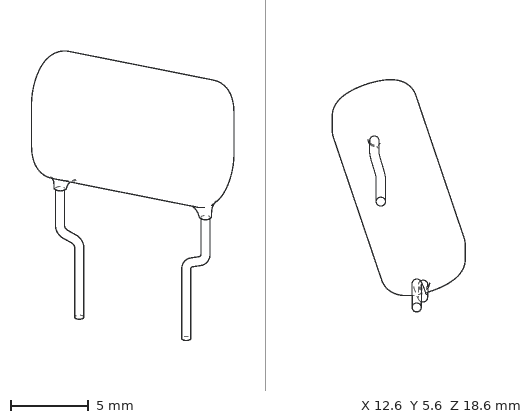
import cadquery as cq
import math

TOTAL_HEIGHT = 18.6

HOUSING_LENGTH = 12.6
HOUSING_DEPTH = 5.6
HOUSING_HEIGHT = 8.6
END_ROUNDING = 1.25
HOUSING_BOTTOM = TOTAL_HEIGHT - HOUSING_HEIGHT
HOUSING_MIDDLE = TOTAL_HEIGHT - HOUSING_HEIGHT / 2

COLLAR_DIAMETER = 0.8
COLLAR_DROP = 1.02
COLLAR_TRIM = 0.55
COLLAR_FLARE = 1.23
COLLAR_LIP_ROUNDING = 0.1
COLLAR_BOTTOM = HOUSING_BOTTOM - COLLAR_DROP

WIRE_DIAMETER = 0.6
UPPER_PITCH = 10.17
LOWER_PITCH = 7.48
LOWER_STRAIGHT = 5.0
BEND_RADIUS = 0.6
BEND_ANGLE = math.radians(70)

SIDES = (-1, 1)


def make_housing():
    """Stadium-section housing with rounded ends and a flared collar for each lead."""
    housing = (
        cq.Workplane("YZ")
        .center(0, HOUSING_MIDDLE)
        .slot2D(HOUSING_HEIGHT, HOUSING_DEPTH, 90)
        .extrude(HOUSING_LENGTH / 2, both=True)
        .faces("<X or >X")
        .edges()
        .fillet(END_ROUNDING)
    )
    collars = (
        cq.Workplane("XY", origin=(0, 0, COLLAR_BOTTOM - COLLAR_TRIM))
        .pushPoints([(side * UPPER_PITCH / 2, 0) for side in SIDES])
        .circle(COLLAR_DIAMETER / 2)
        .extrude(HOUSING_MIDDLE - COLLAR_BOTTOM + COLLAR_TRIM)
    )
    housing = housing.union(collars)

    collar_seams = cq.selectors.BoxSelector(
        (-UPPER_PITCH / 2 - COLLAR_DIAMETER, -COLLAR_DIAMETER, COLLAR_BOTTOM + COLLAR_DROP / 2),
        (UPPER_PITCH / 2 + COLLAR_DIAMETER, COLLAR_DIAMETER, HOUSING_BOTTOM + COLLAR_DROP / 2),
        boundingbox=True,
    )
    housing = housing.edges(collar_seams).fillet(COLLAR_FLARE)

    trim = (
        cq.Workplane("XY", origin=(0, 0, COLLAR_BOTTOM))
        .rect(HOUSING_LENGTH, HOUSING_DEPTH)
        .extrude(-COLLAR_TRIM)
    )
    housing = housing.cut(trim)
    return housing.faces("<Z").edges().fillet(COLLAR_LIP_ROUNDING)


def make_lead(side):
    """Round wire from the collar down to the tip, with an inward double bend."""
    upper_x = UPPER_PITCH / 2
    lower_x = LOWER_PITCH / 2
    bend_in = BEND_RADIUS * (1 - math.cos(BEND_ANGLE))
    bend_drop = BEND_RADIUS * math.sin(BEND_ANGLE)
    slant_in = upper_x - lower_x - 2 * bend_in
    slant_drop = slant_in / math.tan(BEND_ANGLE)

    lower_bend_end = LOWER_STRAIGHT + bend_drop
    upper_bend_end = lower_bend_end + slant_drop
    upper_bend_start = upper_bend_end + bend_drop

    path = (
        cq.Workplane("XZ")
        .moveTo(side * lower_x, 0)
        .lineTo(side * lower_x, LOWER_STRAIGHT)
        .tangentArcPoint((side * (lower_x + bend_in), lower_bend_end), relative=False)
        .lineTo(side * (upper_x - bend_in), upper_bend_end)
        .tangentArcPoint((side * upper_x, upper_bend_start), relative=False)
        .lineTo(side * upper_x, COLLAR_BOTTOM)
    )
    return (
        cq.Workplane("XY", origin=(side * lower_x, 0, 0))
        .circle(WIRE_DIAMETER / 2)
        .sweep(path)
    )


housing = make_housing()
leads = [make_lead(side) for side in SIDES]

result = cq.Compound.makeCompound([housing.solids().val(), *[lead.val() for lead in leads]])